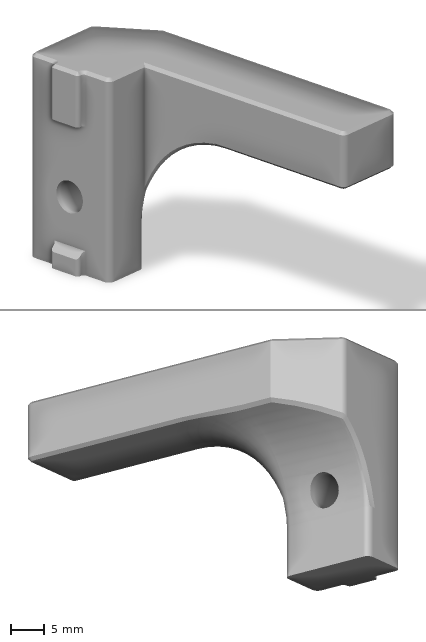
import cadquery as cq
import math

LENGTH = 56.0
HEIGHT = 33.5
DEPTH = 20.0

POST_WIDTH = 16.0
POST_DEPTH = 8.0

ARM_BOTTOM = 24.0
CORNER_CUT_X = 9.5
CORNER_CUT_Y = 6.0

CORNER_RADIUS = 1.0
EDGE_CHAMFER = 0.5

COVE_RADIUS = 16.0
COVE_START = ARM_BOTTOM - COVE_RADIUS

FOOT_MARGIN = 0.05
ARM_MARGIN = 2.0
FOOT_TOP = COVE_START + FOOT_MARGIN
ARM_SPLIT_X = POST_WIDTH + COVE_RADIUS - ARM_MARGIN

TAB_CENTER_X = POST_WIDTH / 2
TAB_WIDTH = 5.5
TAB_PROJECTION = 1.25
TAB_TIP_RADIUS = 0.55
TAB_ROOT_RADIUS = 0.5
UPPER_TAB_LENGTH = 9.0
LOWER_TAB_LENGTH = 4.0

HOLE_DIAMETER = 5.3
HOLE_Z = 12.0

QUARTER_TURN = 90

PICK = 0.01


def make_outline_prism():
    """Full-height prism with the outline of the part seen from above, its corners rounded."""
    front_left = (0, 0)
    front_right = (POST_WIDTH, 0)
    inner_corner = (POST_WIDTH, POST_DEPTH)
    end_front = (LENGTH, POST_DEPTH)
    end_back = (LENGTH, DEPTH)
    cut_back = (CORNER_CUT_X, DEPTH)
    cut_left = (0, DEPTH - CORNER_CUT_Y)
    outline = [front_left, front_right, inner_corner, end_front, end_back, cut_back, cut_left]
    prism = cq.Workplane("XY").polyline(outline).close().extrude(HEIGHT)
    for x, y in (front_left, front_right, end_front, end_back, cut_left):
        low = (x - PICK, y - PICK, 0)
        high = (x + PICK, y + PICK, HEIGHT)
        prism = prism.edges("|Z").edges(cq.selectors.BoxSelector(low, high)).fillet(CORNER_RADIUS)
    return prism


def cove_section(x, y):
    """Section on the plane at x, from an axis at y: post, cove and arm, open-ended to the back."""
    reach = LENGTH
    cove_end = CORNER_RADIUS + COVE_RADIUS
    diagonal = COVE_RADIUS * math.cos(math.radians(45))
    arc_middle = (cove_end - diagonal, COVE_START + diagonal)
    return (
        cq.Workplane("YZ", origin=(x, y, 0))
        .lineTo(CORNER_RADIUS, 0)
        .lineTo(CORNER_RADIUS, COVE_START)
        .threePointArc(arc_middle, (cove_end, ARM_BOTTOM))
        .lineTo(reach, ARM_BOTTOM)
        .lineTo(reach, HEIGHT)
        .lineTo(0, HEIGHT)
        .close()
    )


def make_cove_form():
    """Oversize solid bounded below by the cove, which sweeps around both back corners of the post."""
    axis_y = POST_DEPTH - CORNER_RADIUS
    left_x = CORNER_RADIUS
    right_x = POST_WIDTH - CORNER_RADIUS
    front = cq.Workplane("XY").box(POST_WIDTH, axis_y, HEIGHT, centered=False)
    back = cove_section(left_x, axis_y).extrude(right_x - left_x)
    left = cove_section(left_x, axis_y).revolve(QUARTER_TURN, (0, 0), (0, 1))
    right = cove_section(right_x, axis_y).revolve(QUARTER_TURN, (0, 0), (0, -1))
    return front.union(back).union(left).union(right)


def split_body(body):
    """Foot, shoulder and arm end: the body divided at FOOT_TOP and ARM_SPLIT_X."""
    foot_zone = cq.Workplane("XY").box(LENGTH, DEPTH, FOOT_TOP, centered=False)
    arm_zone = (
        cq.Workplane("XY", origin=(ARM_SPLIT_X, 0, 0))
        .box(LENGTH - ARM_SPLIT_X, DEPTH, HEIGHT, centered=False)
    )
    foot = body.intersect(foot_zone)
    shoulder = body.cut(foot_zone).cut(arm_zone)
    arm_end = body.intersect(arm_zone)
    return foot, shoulder, arm_end


def is_chamfered_rim(edge):
    """False for edges on the dividing planes and for the short edge in the inner corner."""
    box = edge.BoundingBox()
    on_foot_plane = box.zmax < FOOT_TOP + PICK
    on_arm_plane = abs(box.xmin - ARM_SPLIT_X) < PICK and abs(box.xmax - ARM_SPLIT_X) < PICK
    in_inner_corner = box.xmin > POST_WIDTH - PICK and box.ymin < POST_DEPTH - PICK
    return not (on_foot_plane or on_arm_plane or in_inner_corner)


def chamfer_underside(piece):
    """Chamfer the edges where upright walls, which reach the top, meet the cove or the arm's underside."""
    faces = piece.faces().vals()
    under_faces = [face for face in faces if face.BoundingBox().zmax < ARM_BOTTOM + PICK]
    wall_faces = [face for face in faces if face.BoundingBox().zmax > HEIGHT - PICK]
    wall_edges = [edge for face in wall_faces for edge in face.Edges()]
    rim = []
    for face in under_faces:
        for edge in face.Edges():
            if is_chamfered_rim(edge) and any(edge.isSame(other) for other in wall_edges):
                rim.append(edge)
    return piece.newObject(rim).chamfer(EDGE_CHAMFER)


def make_tab(bottom, length):
    """Tab with rounded tips and a filleted root, reaching a little into the post."""
    half = TAB_WIDTH / 2
    root = half + TAB_ROOT_RADIUS
    tip = half - TAB_TIP_RADIUS
    face = -TAB_PROJECTION
    return (
        cq.Workplane("XY", origin=(TAB_CENTER_X, 0, bottom))
        .moveTo(-root, CORNER_RADIUS)
        .lineTo(-root, 0)
        .radiusArc((-half, -TAB_ROOT_RADIUS), TAB_ROOT_RADIUS)
        .lineTo(-half, face + TAB_TIP_RADIUS)
        .radiusArc((-tip, face), -TAB_TIP_RADIUS)
        .lineTo(tip, face)
        .radiusArc((half, face + TAB_TIP_RADIUS), -TAB_TIP_RADIUS)
        .lineTo(half, -TAB_ROOT_RADIUS)
        .radiusArc((root, 0), TAB_ROOT_RADIUS)
        .lineTo(root, CORNER_RADIUS)
        .close()
        .extrude(length)
    )


def make_lower_tab():
    """Tab at the foot, its top sloped back at 45 degrees to the post face."""
    slope = (
        cq.Workplane("YZ")
        .moveTo(0, LOWER_TAB_LENGTH)
        .lineTo(-TAB_PROJECTION, LOWER_TAB_LENGTH)
        .lineTo(-TAB_PROJECTION, LOWER_TAB_LENGTH - TAB_PROJECTION)
        .close()
        .extrude(POST_WIDTH)
    )
    return make_tab(0, LOWER_TAB_LENGTH).cut(slope)


def make_hole():
    """Screw hole running front to back."""
    return (
        cq.Workplane("XZ", origin=(TAB_CENTER_X, 0, HOLE_Z))
        .circle(HOLE_DIAMETER / 2)
        .extrude(-DEPTH)
    )


def make_body():
    """Post and arm with the cove between them and the underside edges chamfered."""
    body = make_outline_prism().intersect(make_cove_form()).clean()
    foot, shoulder, arm_end = split_body(body)
    return foot.union(chamfer_underside(shoulder)).union(chamfer_underside(arm_end))


upper_tab = make_tab(HEIGHT - UPPER_TAB_LENGTH, UPPER_TAB_LENGTH)
body = make_body().union(upper_tab).clean()
body = body.faces(">Z").chamfer(EDGE_CHAMFER)
result = body.union(make_lower_tab()).cut(make_hole())